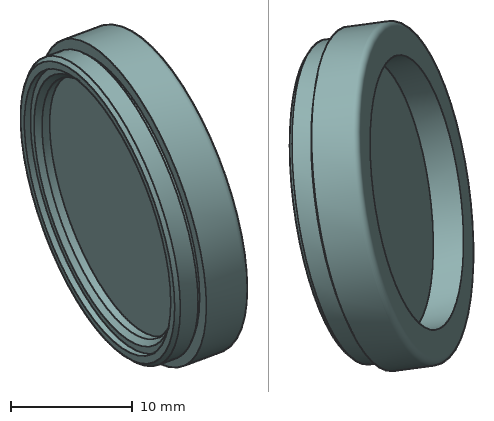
import cadquery as cq

flange_diameter = 28.6
rim_diameter = 27.0
groove_diameter = 26.3
total_depth = 6.4
flange_depth = 4.05
groove_width = 0.35
rim_chamfer = 0.35
back_round = 0.51

bore_diameter = 24.97
opening_diameter = 22.8

ring_recess = 0.57
ring_mouth_diameter = 23.75
ring_cone_depth = 0.5
ring_straight_depth = 0.72

window_thickness = 2.0

front = -total_depth / 2
back = total_depth / 2
shoulder = back - flange_depth
ring_front = front + ring_recess
cone_end = ring_front + ring_cone_depth
window_front = cone_end + ring_straight_depth
ledge = window_front + window_thickness


def disc(diameter, start, end):
    """Cylinder about Y between two positions."""
    return cq.Workplane("XZ", origin=(0, start, 0)).circle(diameter / 2).extrude(start - end)


def make_housing():
    """Flanged body with a grooved rim, a bore from the front and a ledge behind the window."""
    flange = disc(flange_diameter, shoulder, back).faces(">Y").edges().fillet(back_round)
    groove = disc(groove_diameter, shoulder - groove_width, shoulder)
    rim = disc(rim_diameter, front, shoulder - groove_width).faces("<Y").edges().chamfer(rim_chamfer)
    bore = disc(bore_diameter, front, ledge)
    opening = disc(opening_diameter, ledge, back)
    return flange.union(groove).union(rim).cut(bore).cut(opening)


def make_window():
    """Plain disc resting on the ledge."""
    return disc(bore_diameter, window_front, ledge)


def make_retaining_ring():
    """Ring holding the window, with a conical mouth leading into the clear opening."""
    profile = [
        (bore_diameter / 2, ring_front),
        (ring_mouth_diameter / 2, ring_front),
        (opening_diameter / 2, cone_end),
        (opening_diameter / 2, window_front),
        (bore_diameter / 2, window_front),
    ]
    return cq.Workplane("XY").polyline(profile).close().revolve(360, (0, 0, 0), (0, 1, 0))


housing = make_housing()
window = make_window()
retaining_ring = make_retaining_ring()

result = cq.Compound.makeCompound([housing.val(), window.val(), retaining_ring.val()])